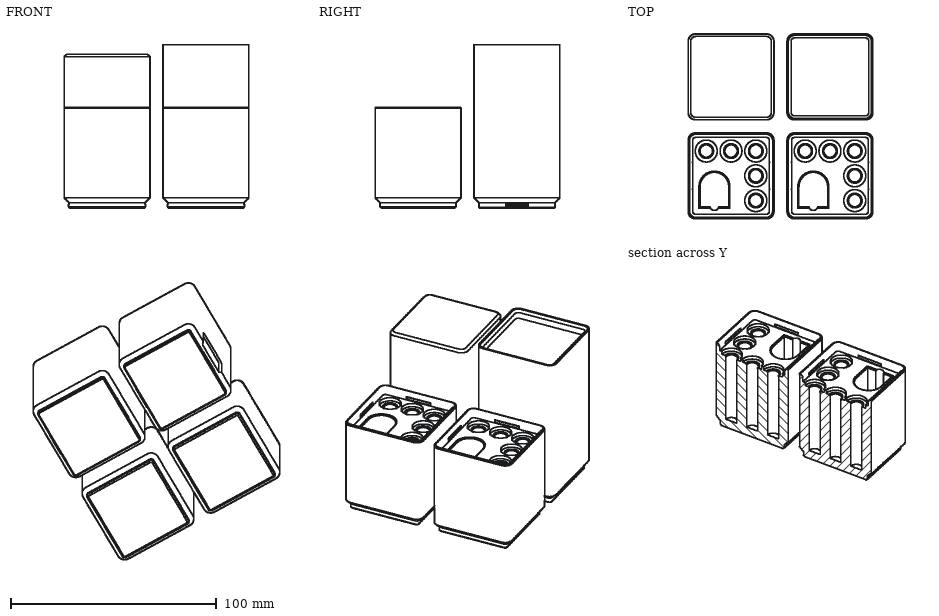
import cadquery as cq
overall_side = 89.8
box_side = 41.8
half_side = box_side / 2
box_centre = (overall_side - box_side) / 2
corner_radius = 3.7

short_height = 49.0
capped_height = 74.8
tray_height = 79.5
cap_chamfer = 1.3

foot_inset = 2.3
foot_height = 2.7
flare_top = foot_height + foot_inset
tall_foot_chamfer = 0.45
short_foot_chamfer = 0.8

tray_inset = 2.0
tray_depth = 4.5
tray_lead_in = 1.3

rim_inset = 2.25
rim_depth = 4.2
rim_outer_chamfer = 0.45
rim_land = 0.3
rim_lead_in = rim_inset - rim_outer_chamfer - rim_land
rim_round = 2.0
deck_level = short_height - rim_depth

ridge_level = 1.35
ridge_length = 11.05
ridge_half_height = 0.6
ridge_reach = 0.4
ridge_directions = (0, 180)
groove_level = deck_level + 1.1
groove_length = 13.1
groove_half_height = 0.7
groove_reach = 0.7
groove_directions = (0, 90, 180, 270)

pocket_floor = flare_top
pocket_chamfer = 0.5
well_pitch = 12.0
well_grid = ((-1, 1), (0, 1), (1, 1), (1, 0), (1, -1))
well_points = [(column * well_pitch, row * well_pitch) for column, row in well_grid]
well_diameter = 6.0
counterbore_diameter = 10.7
counterbore_depth = 1.8
shelf_level = deck_level - counterbore_depth

arch_width = 13.9
arch_length = 16.8
arch_centre_x = -8.1
arch_end_y = -15.1
notch_diameter = 4.5
notch_reach = 1.7

label_width = 17.9
label_top = 21.0
label_depth = 1.0
label_corner_radius = 1.8


def rounded_block(inset, bottom, top):
    """Square block set in from the box walls, its corners concentric with the box corners."""
    side = box_side - 2 * inset
    block = cq.Workplane("XY", origin=(0, 0, bottom)).rect(side, side).extrude(top - bottom)
    return block.edges("|Z").fillet(corner_radius - inset)


def plain_box(height, foot_chamfer):
    """Solid box with its flare and chamfered foot."""
    body = rounded_block(0, foot_height, height).faces("<Z").chamfer(foot_inset)
    foot = rounded_block(foot_inset, 0, foot_height).faces("<Z").chamfer(foot_chamfer)
    return body.union(foot)


def edges_inside(inset, level):
    """Selector for the edges at one level that lie within an inset from the box walls."""
    reach = half_side - inset
    tolerance = 0.01
    lower_corner = (-reach, -reach, level - tolerance)
    upper_corner = (reach, reach, level + tolerance)
    return cq.selectors.BoxSelector(lower_corner, upper_corner, boundingbox=True)


def snap_bars(wall_distance, level, length, half_height, reach, directions):
    """Triangular bars based on the wall plane, one for each direction, tips pointing outward."""
    bar = (
        cq.Workplane("XZ", origin=(wall_distance, length / 2, level))
        .moveTo(0, -half_height)
        .lineTo(reach, 0)
        .lineTo(0, half_height)
        .close()
        .extrude(length)
    )
    return [bar.rotate((0, 0, 0), (0, 0, 1), angle) for angle in directions]


def add_snap_ridges(box):
    wall_distance = half_side - foot_inset
    for ridge in snap_bars(
        wall_distance, ridge_level, ridge_length, ridge_half_height, ridge_reach, ridge_directions
    ):
        box = box.union(ridge)
    return box


def cut_snap_grooves(box):
    wall_distance = half_side - rim_inset
    for groove in snap_bars(
        wall_distance, groove_level, groove_length, groove_half_height, groove_reach, groove_directions
    ):
        box = box.cut(groove)
    return box


def label_recess():
    """Tapered cutter that runs out through the flare at its lower end."""
    outline = cq.Sketch().rect(label_width, 2 * label_top).vertices().fillet(label_corner_radius)
    cutter = cq.Workplane("YZ", origin=(-half_side, 0, 0)).placeSketch(outline)
    return cutter.extrude(label_depth, taper=45)


def capped_box():
    """Tall box with a closed, chamfered top."""
    box = plain_box(capped_height, tall_foot_chamfer).faces(">Z").chamfer(cap_chamfer)
    return add_snap_ridges(box.cut(label_recess()))


def tray_box():
    """Tall box whose top holds a stacking recess with a chamfered mouth."""
    box = plain_box(tray_height, tall_foot_chamfer)
    box = box.cut(rounded_block(tray_inset, tray_height - tray_depth, tray_height))
    mouth = edges_inside(tray_inset / 2, tray_height)
    return add_snap_ridges(box.edges(mouth).chamfer(tray_lead_in))


def open_rim(box):
    """Hollow the top down to the deck and shape the rim that is left."""
    box = box.faces(">Z").chamfer(rim_outer_chamfer)
    box = box.cut(rounded_block(rim_inset, deck_level, short_height))
    box = box.edges(edges_inside(rim_inset / 2, short_height)).chamfer(rim_lead_in)
    return box.edges(edges_inside(rim_inset / 2, short_height - rim_lead_in)).fillet(rim_round)


def sink_arch(box):
    """Cut the arched pocket with its finger notch."""
    radius = arch_width / 2
    spring = arch_length - radius
    depth = deck_level - pocket_floor
    arch = (
        cq.Workplane("XY", origin=(arch_centre_x, arch_end_y, pocket_floor))
        .moveTo(-radius, 0)
        .lineTo(radius, 0)
        .lineTo(radius, spring)
        .threePointArc((0, arch_length), (-radius, spring))
        .close()
        .extrude(depth)
    )
    notch_centre_y = arch_end_y - notch_reach + notch_diameter / 2
    notch = (
        cq.Workplane("XY", origin=(arch_centre_x, notch_centre_y, pocket_floor))
        .circle(notch_diameter / 2)
        .extrude(depth)
    )
    box = box.cut(arch.union(notch))
    return box.edges(edges_inside(2 * rim_inset, deck_level)).chamfer(pocket_chamfer)


def sink_wells(box):
    """Cut the counterbored round wells and chamfer the mouth of each bore."""
    bores = (
        cq.Workplane("XY", origin=(0, 0, pocket_floor))
        .pushPoints(well_points)
        .circle(well_diameter / 2)
        .extrude(shelf_level - pocket_floor)
    )
    counterbores = (
        cq.Workplane("XY", origin=(0, 0, shelf_level))
        .pushPoints(well_points)
        .circle(counterbore_diameter / 2)
        .extrude(counterbore_depth)
    )
    box = box.cut(bores).cut(counterbores)
    shelf_edges = box.edges(edges_inside(rim_inset, shelf_level))
    return shelf_edges.edges(cq.selectors.RadiusNthSelector(0)).chamfer(pocket_chamfer)


def short_box():
    """Open-topped box with pockets in its deck."""
    box = open_rim(plain_box(short_height, short_foot_chamfer))
    box = sink_wells(sink_arch(box))
    return cut_snap_grooves(box)


short_boxes = [short_box().translate((side * box_centre, -box_centre, 0)) for side in (-1, 1)]
capped = capped_box().translate((-box_centre, box_centre, 0))
tray = tray_box().translate((box_centre, box_centre, 0))

result = cq.Compound.makeCompound([box.val() for box in (*short_boxes, capped, tray)])